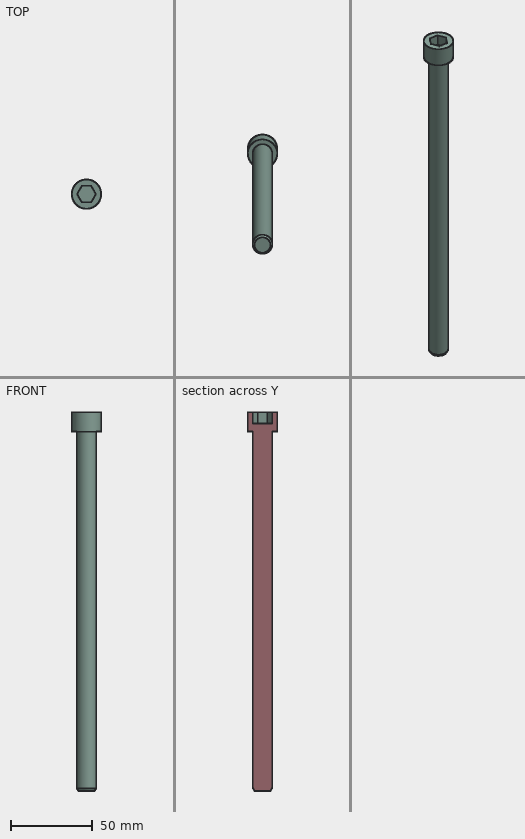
import cadquery as cq
import math

total_length = 232.0
shank_diameter = 12.0
head_diameter = 18.0
head_height = shank_diameter
socket_width = 10.0
socket_depth = 7.0
tip_chamfer_height = 1.9
tip_diameter = 9.7

shank_length = total_length - head_height


def make_shank():
    """Plain cylinder with a chamfered tip."""
    tip_chamfer_width = (shank_diameter - tip_diameter) / 2
    return (
        cq.Workplane("XY")
        .circle(shank_diameter / 2)
        .extrude(shank_length)
        .faces("<Z")
        .chamfer(tip_chamfer_height, tip_chamfer_width)
    )


def make_head():
    """Cylindrical head with a hexagon socket whose corners lie on the X axis."""
    corner_diameter = socket_width / math.cos(math.pi / 6)
    head = (
        cq.Workplane("XY", origin=(0, 0, shank_length))
        .circle(head_diameter / 2)
        .extrude(head_height)
    )
    socket = (
        cq.Workplane("XY", origin=(0, 0, total_length))
        .polygon(6, corner_diameter)
        .extrude(-socket_depth)
    )
    return head.cut(socket)


result = make_shank().union(make_head())